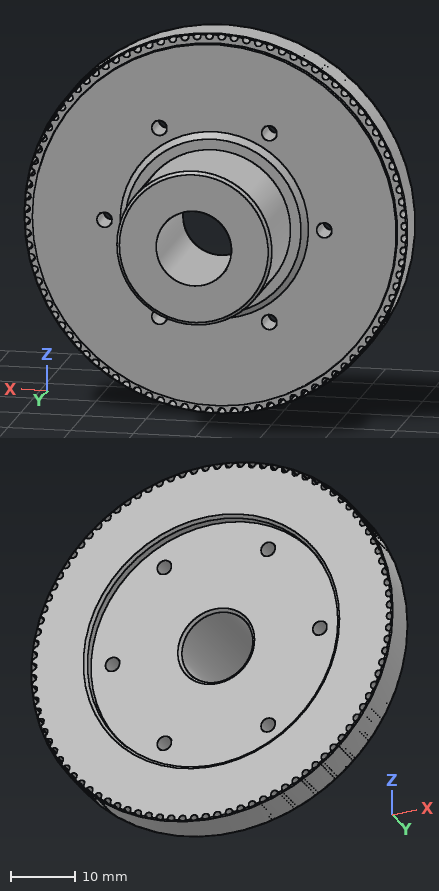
import cadquery as cq
import math


rim_diameter = 61.1
rim_width = 6.5
rim_chamfer = 0.25

shoulder_diameter = 58.0
shoulder_height = 1.0
collar_base_diameter = 30.0
collar_height = 1.0
hub_diameter = 24.7
hub_chamfer = 0.5
total_length = 23.5

recess_diameter = 42.3
recess_depth = 1.95
bore_diameter = 12.0
edge_chamfer = 0.5

bolt_hole_diameter = 2.4
bolt_circle_diameter = 35.0
bolt_count = 6

tooth_count = 96
groove_width = 1.15
groove_floor_radius = 29.6
groove_lip_radius = 0.15
mouth_edge_skin = 0.25
mouth_middle_skin = 0.1

rim_radius = rim_diameter / 2
shoulder_radius = shoulder_diameter / 2
collar_base_radius = collar_base_diameter / 2
collar_top_radius = collar_base_radius - collar_height
hub_radius = hub_diameter / 2
recess_radius = recess_diameter / 2
bore_radius = bore_diameter / 2
shoulder_y = rim_width + shoulder_height
collar_y = shoulder_y + collar_height


def along_axis():
    """Workplane on the rim face whose normal points along +Y (local y is -Z)."""
    return cq.Workplane("XZ").transformed(rotate=(180, 0, 0))


def body():
    """Revolve the half section, in (radius, y), about the Y axis."""
    section = [
        (recess_radius + edge_chamfer, 0),
        (rim_radius - rim_chamfer, 0),
        (rim_radius, rim_chamfer),
        (rim_radius, rim_width - rim_chamfer),
        (rim_radius - rim_chamfer, rim_width),
        (shoulder_radius, rim_width),
        (shoulder_radius, shoulder_y),
        (collar_base_radius, shoulder_y),
        (collar_top_radius, collar_y),
        (hub_radius, collar_y),
        (hub_radius, total_length - hub_chamfer),
        (hub_radius - hub_chamfer, total_length),
        (bore_radius, total_length),
        (bore_radius, recess_depth + edge_chamfer),
        (bore_radius + edge_chamfer, recess_depth),
        (recess_radius, recess_depth),
        (recess_radius, edge_chamfer),
    ]
    return cq.Workplane("XY").polyline(section).close().revolve(360, (0, 0), (0, 1))


def bolt_holes():
    """Through holes in the web, the first one on the X axis."""
    return (
        along_axis()
        .polarArray(bolt_circle_diameter / 2, 0, 360, bolt_count)
        .circle(bolt_hole_diameter / 2)
        .extrude(shoulder_y)
    )


def tooth_grooves():
    """Round-bottomed grooves with flared mouths, the first half a pitch from the X axis."""
    half_width = groove_width / 2
    half_mouth = half_width + groove_lip_radius
    crown_radius = rim_radius - mouth_middle_skin
    mouth_radius = rim_radius - mouth_edge_skin
    mouth_x = math.sqrt(mouth_radius**2 - half_mouth**2)
    lip_x = mouth_x - groove_lip_radius
    floor_arc_x = groove_floor_radius + half_width
    lip_offset = groove_lip_radius * (1 - math.sqrt(0.5))
    lip_middle = (mouth_x - lip_offset, half_width + lip_offset)
    groove = (
        along_axis()
        .moveTo(mouth_x, -half_mouth)
        .threePointArc((lip_middle[0], -lip_middle[1]), (lip_x, -half_width))
        .lineTo(floor_arc_x, -half_width)
        .threePointArc((groove_floor_radius, 0), (floor_arc_x, half_width))
        .lineTo(lip_x, half_width)
        .threePointArc(lip_middle, (mouth_x, half_mouth))
        .threePointArc((crown_radius, 0), (mouth_x, -half_mouth))
        .close()
        .extrude(rim_width)
        .val()
    )
    pitch_angle = 360 / tooth_count
    grooves = [
        groove.rotate(cq.Vector(0, 0, 0), cq.Vector(0, 1, 0), (index + 0.5) * pitch_angle)
        for index in range(tooth_count)
    ]
    return cq.Compound.makeCompound(grooves)


result = body().cut(bolt_holes()).cut(cq.Workplane(tooth_grooves()))